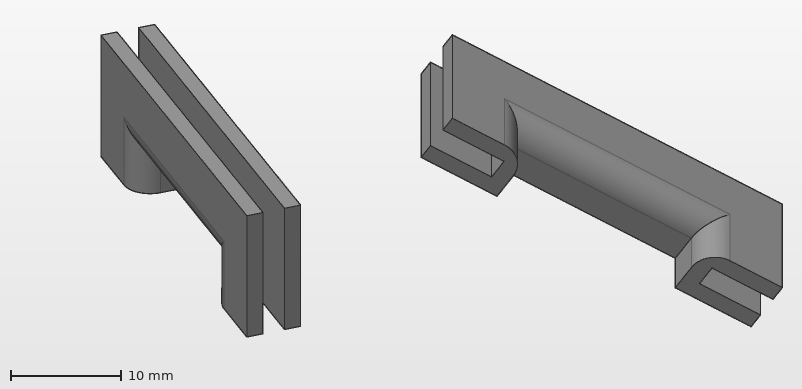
import cadquery as cq

length = 35.55
thickness = 5.25
height = 12.7

groove_width = 2.1
groove_depth = 6.58

opening_width = 19.2
opening_height = 4.48
rim_radius = 2.55


def make_block():
    return cq.Workplane("XY").box(length, thickness, height, centered=(True, True, False))


def make_groove():
    """Slab of the groove width with the web removed from it."""
    slab = cq.Workplane("XY").box(length, groove_width, height, centered=(True, True, False))
    web = cq.Workplane("XY").box(
        length - 2 * groove_depth, groove_width, height - groove_depth, centered=(True, True, False)
    )
    return slab.cut(web)


def make_opening():
    """Void flaring out toward the front face; its two prisms meet in mitred corners."""
    front_y = -thickness / 2
    back_y = thickness / 2
    tangent_y = front_y + rim_radius
    wall_x = opening_width / 2
    front_x = wall_x + rim_radius
    front_z = opening_height + rim_radius

    between_walls = (
        cq.Workplane("XY")
        .moveTo(-front_x, front_y)
        .lineTo(front_x, front_y)
        .radiusArc((wall_x, tangent_y), rim_radius)
        .lineTo(wall_x, back_y)
        .lineTo(-wall_x, back_y)
        .lineTo(-wall_x, tangent_y)
        .radiusArc((-front_x, front_y), rim_radius)
        .close()
        .extrude(height)
    )
    below_roof = (
        cq.Workplane("YZ")
        .moveTo(front_y, 0)
        .lineTo(back_y, 0)
        .lineTo(back_y, opening_height)
        .lineTo(tangent_y, opening_height)
        .radiusArc((front_y, front_z), rim_radius)
        .close()
        .extrude(length / 2, both=True)
    )
    return between_walls.intersect(below_roof)


result = make_block().cut(make_groove()).cut(make_opening())